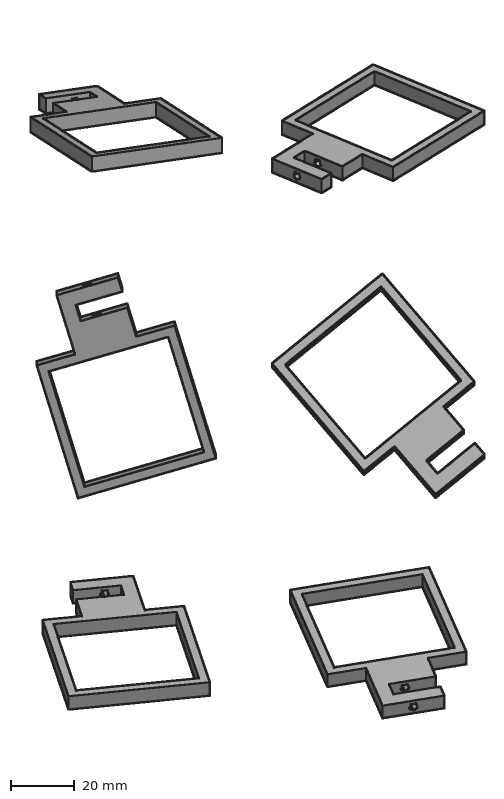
import cadquery as cq

total_length = 65.0
frame_side = 45.0
frame_wall = 3.0
thickness = 5.0

tab_side = total_length - frame_side
arm_width = 4.8
slot_width = 5.4
slot_length = tab_side - arm_width

hole_sides = 5
hole_diameter = 2.85
corner_down_angle = 90.0

frame_left = -frame_side / 2
tab_left = frame_left - tab_side
tab_front = -tab_side / 2


def make_plate(length, width, left, front):
    """Full-thickness rectangular plate placed by its lower-left corner."""
    return cq.Workplane("XY").box(length, width, thickness, centered=False).translate((left, front, 0))


def make_frame():
    """Square frame centred on the Z axis."""
    opening_side = frame_side - 2 * frame_wall
    outer = make_plate(frame_side, frame_side, frame_left, frame_left)
    opening = make_plate(opening_side, opening_side, -opening_side / 2, -opening_side / 2)
    return outer.cut(opening)


def make_screw_hole():
    """Pentagonal prism from the tab's outer end to the frame's outer face."""
    return (
        cq.Workplane("YZ", origin=(tab_left, 0, thickness / 2))
        .transformed(rotate=(0, 0, -corner_down_angle))
        .polygon(hole_sides, hole_diameter)
        .extrude(tab_side)
    )


def make_tab():
    """Slotted tab, crossed by the screw hole in both of its arms."""
    body = make_plate(tab_side, tab_side, tab_left, tab_front)
    slot = make_plate(slot_width, slot_length, tab_left + arm_width, tab_front)
    return body.cut(slot).cut(make_screw_hole())


result = make_frame().union(make_tab())